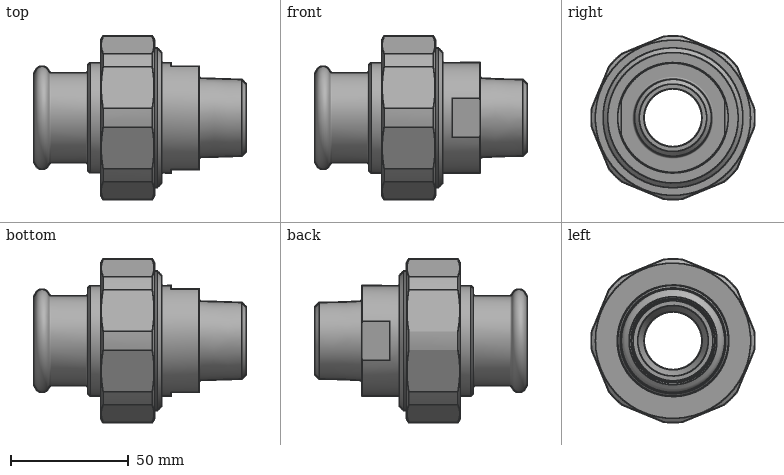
import cadquery as cq
import math


overall_length = 90.5
collar_start = 23.0
nut_start = 28.5
nut_length = 23.0
nut_end = nut_start + nut_length
thread_ring_end = 54.5
spanner_flat_start = 58.5
hub_end = 70.5

tube_diameter = 38.4
tube_bore = 35.4
wall = (tube_diameter - tube_bore) / 2
bead_diameter = 44.0
bead_outer_radius = 3.0
bead_side_angle = 30.0
bead_root_radius = 0.9
lip_outer_diameter = 37.4
lip_bore = 35.8
lip_bevel_length = 0.5
collar_diameter = 47.0
collar_chamfer = 1.0
collar_root_radius = 0.75
flange_diameter = 54.5
flange_thickness = 5.0
tail_end_bore = 34.0

nut_across_flats = 67.0
nut_corner_diameter = 69.68
nut_face_diameter = 66.0
nut_chamfer_angle = 30.0
nut_neck_bore = 47.5
nut_floor_thickness = 4.5
nut_sides = 8

ring_diameter = 59.5
ring_chamfer = 2.0
hub_diameter = 47.0
hub_root_radius = 0.4
hub_edge_chamfer = 0.3
spanner_across_flats = 44.0
taper_thread_diameter = 33.8
taper_ratio = 1 / 16
taper_thread_chamfer = 2.0
taper_root_radius = 0.5
body_bore = 24.5
funnel_diameter = 30.0
funnel_length = 7.0

flange_start = nut_start + nut_floor_thickness
flange_end = flange_start + flange_thickness


def revolve_about_x(profile):
    """Turn a closed profile, drawn with X axial and Y radial, about the X axis."""
    return profile.close().revolve(360, (0, 0, 0), (1, 0, 0))


def root_arc(profile, shoulder_x, radius, size, from_shoulder):
    """Add the hollow fillet in the corner between a shoulder face and the cylinder it stands on.

    The profile runs down the shoulder on to the cylinder when from_shoulder is true, and the
    other way when it is false. The shoulder faces +X in the first case and -X in the second.
    """
    direction = 1 if from_shoulder else -1
    offset = size * (1 - math.sqrt(0.5))
    on_shoulder = (shoulder_x, radius + size)
    middle = (shoulder_x + direction * offset, radius + offset)
    on_cylinder = (shoulder_x + direction * size, radius)
    if from_shoulder:
        return profile.lineTo(*on_shoulder).threePointArc(middle, on_cylinder)
    return profile.lineTo(*on_cylinder).threePointArc(middle, on_shoulder)


def make_press_tail():
    slope = math.radians(bead_side_angle)
    sin_s = math.sin(slope)
    cos_s = math.cos(slope)
    tan_s = math.tan(slope)
    tube_r = tube_diameter / 2
    center_r = bead_diameter / 2 - bead_outer_radius
    lip_drop = center_r + bead_outer_radius * sin_s - lip_outer_diameter / 2
    bead_center_x = bead_outer_radius * cos_s + lip_drop * tan_s
    groove_radius = bead_outer_radius - wall

    def on_bead(radius, side):
        """Point where the straight side leaves the round crown; side is -1 (left) or +1 (right)."""
        return (bead_center_x + side * radius * cos_s, center_r + radius * sin_s)

    def on_side(radius, side, height):
        """Point of the straight side at a given distance from the axis."""
        x, r = on_bead(radius, side)
        return (x + side * (r - height) * tan_s, height)

    def bend(radius, bend_radius, height):
        """Start, middle and end of the bend from the right-hand side into a cylinder."""
        corner_x = on_side(radius, 1, height)[0]
        turn = math.pi / 2 - slope
        tangent_length = bend_radius * math.tan(turn / 2)
        center_x = corner_x + tangent_length
        start = (corner_x - tangent_length * sin_s, height + tangent_length * cos_s)
        middle = (
            center_x - bend_radius * math.sin(turn / 2),
            height + bend_radius * (1 - math.cos(turn / 2)),
        )
        return start, middle, (center_x, height)

    outer_bend = bend(bead_outer_radius, bead_root_radius, tube_r)
    inner_bend = bend(groove_radius, bead_root_radius + wall, tube_bore / 2)
    collar_r = collar_diameter / 2

    profile = (
        cq.Workplane("XY")
        .moveTo(0, lip_outer_diameter / 2)
        .lineTo(*on_bead(bead_outer_radius, -1))
        .threePointArc((bead_center_x, bead_diameter / 2), on_bead(bead_outer_radius, 1))
        .lineTo(*outer_bend[0])
        .threePointArc(outer_bend[1], outer_bend[2])
    )
    profile = (
        root_arc(profile, collar_start, tube_r, collar_root_radius, from_shoulder=False)
        .lineTo(collar_start, collar_r - collar_chamfer)
        .lineTo(collar_start + collar_chamfer, collar_r)
        .lineTo(flange_start, collar_r)
        .lineTo(flange_start, flange_diameter / 2)
        .lineTo(flange_end, flange_diameter / 2)
        .lineTo(flange_end, tail_end_bore / 2)
        .lineTo(flange_start, tail_end_bore / 2)
        .lineTo(flange_start, tube_bore / 2)
        .lineTo(*inner_bend[2])
        .threePointArc(inner_bend[1], inner_bend[0])
        .lineTo(*on_bead(groove_radius, 1))
        .threePointArc((bead_center_x, center_r + groove_radius), on_bead(groove_radius, -1))
        .lineTo(*on_side(groove_radius, -1, lip_bore / 2))
        .lineTo(lip_bevel_length, lip_bore / 2)
    )
    return revolve_about_x(profile)


def make_nut():
    corner_r = nut_corner_diameter / 2
    face_r = nut_face_diameter / 2
    chamfer_length = (corner_r - face_r) * math.tan(math.radians(nut_chamfer_angle))

    turned = revolve_about_x(
        cq.Workplane("XY")
        .moveTo(nut_start, nut_neck_bore / 2)
        .lineTo(nut_start, face_r)
        .lineTo(nut_start + chamfer_length, corner_r)
        .lineTo(nut_end - chamfer_length, corner_r)
        .lineTo(nut_end, face_r)
        .lineTo(nut_end, ring_diameter / 2)
        .lineTo(flange_start, ring_diameter / 2)
        .lineTo(flange_start, nut_neck_bore / 2)
    )
    sharp_corner_diameter = nut_across_flats / math.cos(math.pi / nut_sides)
    octagon = (
        cq.Workplane("YZ", origin=(nut_start, 0, 0))
        .polygon(nut_sides, sharp_corner_diameter)
        .extrude(nut_length)
    )
    return turned.intersect(octagon)


def make_threaded_body():
    ring_r = ring_diameter / 2
    hub_r = hub_diameter / 2
    taper_r = taper_thread_diameter / 2
    taper_end = overall_length - taper_thread_chamfer
    taper_end_r = taper_r - (taper_end - hub_end) * taper_ratio / 2

    profile = (
        cq.Workplane("XY")
        .moveTo(flange_end, funnel_diameter / 2)
        .lineTo(flange_end, ring_r)
        .lineTo(thread_ring_end - ring_chamfer, ring_r)
        .lineTo(thread_ring_end, ring_r - ring_chamfer)
    )
    profile = (
        root_arc(profile, thread_ring_end, hub_r, hub_root_radius, from_shoulder=True)
        .lineTo(hub_end - hub_edge_chamfer, hub_r)
        .lineTo(hub_end, hub_r - hub_edge_chamfer)
    )
    profile = (
        root_arc(profile, hub_end, taper_r, taper_root_radius, from_shoulder=True)
        .lineTo(taper_end, taper_end_r)
        .lineTo(overall_length, taper_end_r - taper_thread_chamfer)
        .lineTo(overall_length, body_bore / 2)
        .lineTo(flange_end + funnel_length, body_bore / 2)
    )
    body = revolve_about_x(profile)

    flat_length = hub_end - spanner_flat_start
    flat_depth = (hub_diameter - spanner_across_flats) / 2
    for side in (-1, 1):
        cutter = cq.Workplane("XY").box(flat_length, flat_depth, hub_diameter).translate(
            (
                spanner_flat_start + flat_length / 2,
                side * (spanner_across_flats + flat_depth) / 2,
                0,
            )
        )
        body = body.cut(cutter)
    return body


press_tail = make_press_tail()
nut = make_nut()
threaded_body = make_threaded_body()

result = cq.Compound.makeCompound([press_tail.val(), nut.val(), threaded_body.val()])